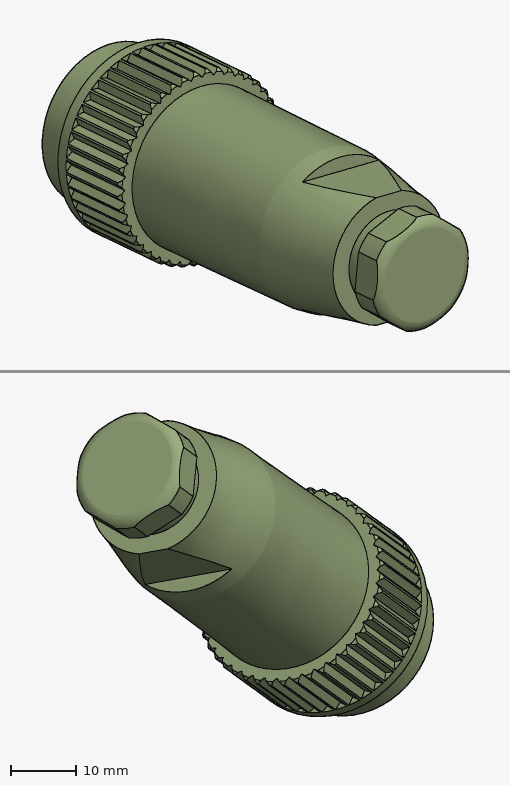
import cadquery as cq
import math

PLUG_START = 0.0
RING_START = 6.95
KNURL_START = 9.5
RING_END = 22.85
NOSE_START = 54.3
FLAT_START = 57.55
NOSE_END = 69.6
NUT_START = 72.9
OVERALL_LENGTH = 78.56

PLUG_RADIUS = 13.35
RING_RADIUS = 16.045
BODY_START_RADIUS = 13.6
BODY_END_RADIUS = 13.33
NOSE_END_RADIUS = 10.83
NECK_RADIUS = 7.75
NUT_RADIUS = 9.4

RING_FRONT_FILLET = 0.75
RING_REAR_CHAMFER = 0.5
GROOVE_COUNT = 44
GROOVE_DEPTH = 1.0
GROOVE_HALF_ANGLE = 45.0
GROOVE_PHASE = -0.12
GROOVE_OVERCUT = 0.5

NOSE_START_SLOPE = -0.10
NOSE_END_SLOPE = -0.10
FLAT_HALF_DISTANCE = 10.55

HEX_SIDES = 6
FLAT_HALF_ANGLE = 20.0
NUT_ROTATION = -6.0
NUT_DOME_LENGTH = 1.15
NUT_DOME_DROP = 2.4
NUT_DOME_BULGE = 0.3


def cylinder(start, end, radius):
    """Cylinder on the X axis between two stations."""
    return cq.Workplane("YZ").workplane(offset=start).circle(radius).extrude(end - start)


def groove_cutter():
    """V-groove prism lying along the top of the ring, apex towards the axis."""
    apex_z = RING_RADIUS - GROOVE_DEPTH
    height = GROOVE_DEPTH + GROOVE_OVERCUT
    half_width = height * math.tan(math.radians(GROOVE_HALF_ANGLE))
    return (
        cq.Workplane("YZ")
        .workplane(offset=KNURL_START)
        .moveTo(0, apex_z)
        .lineTo(half_width, apex_z + height)
        .lineTo(-half_width, apex_z + height)
        .close()
        .extrude(RING_END - KNURL_START)
    )


def coupling_ring():
    ring = cylinder(RING_START, RING_END, RING_RADIUS)
    ring = ring.faces("<X").edges().fillet(RING_FRONT_FILLET)
    ring = ring.faces(">X").edges().chamfer(RING_REAR_CHAMFER)
    cutter = groove_cutter().val()
    pitch = 360.0 / GROOVE_COUNT
    axis_start = cq.Vector(0, 0, 0)
    axis_end = cq.Vector(1, 0, 0)
    grooves = []
    for i in range(GROOVE_COUNT):
        grooves.append(cutter.rotate(axis_start, axis_end, GROOVE_PHASE + i * pitch))
    return ring.cut(cq.Workplane(obj=cq.Compound.makeCompound(grooves)))


def shell():
    """Tapered body and nose, with a wrench flat on the top and bottom of the nose."""
    turned = (
        cq.Workplane("XY")
        .moveTo(RING_END, 0)
        .lineTo(RING_END, BODY_START_RADIUS)
        .lineTo(NOSE_START, BODY_END_RADIUS)
        .spline(
            [(NOSE_END, NOSE_END_RADIUS)],
            tangents=[(1, NOSE_START_SLOPE), (1, NOSE_END_SLOPE)],
            includeCurrent=True,
        )
        .lineTo(NOSE_END, 0)
        .close()
        .revolve(360, (0, 0, 0), (1, 0, 0))
    )
    flat_length = NOSE_END - FLAT_START
    cut_height = BODY_END_RADIUS - FLAT_HALF_DISTANCE
    for side in (1, -1):
        cutter = cq.Workplane("XY").box(flat_length, 2 * BODY_END_RADIUS, cut_height)
        middle_x = (FLAT_START + NOSE_END) / 2
        middle_z = side * (FLAT_HALF_DISTANCE + cut_height / 2)
        turned = turned.cut(cutter.translate((middle_x, 0, middle_z)))
    return turned


def gland_nut():
    """Turned blank with a domed end, milled to a hexagon with rounded corners."""
    dome_start = OVERALL_LENGTH - NUT_DOME_LENGTH
    end_radius = NUT_RADIUS - NUT_DOME_DROP
    dome_middle = (
        dome_start + NUT_DOME_LENGTH / 2 + NUT_DOME_BULGE,
        NUT_RADIUS - NUT_DOME_DROP / 2 + NUT_DOME_BULGE,
    )
    blank = (
        cq.Workplane("XY")
        .moveTo(NUT_START, 0)
        .lineTo(NUT_START, NUT_RADIUS)
        .lineTo(dome_start, NUT_RADIUS)
        .threePointArc(dome_middle, (OVERALL_LENGTH, end_radius))
        .lineTo(OVERALL_LENGTH, 0)
        .close()
        .revolve(360, (0, 0, 0), (1, 0, 0))
    )
    flat_distance = NUT_RADIUS * math.cos(math.radians(FLAT_HALF_ANGLE))
    corner_diameter = 2 * flat_distance / math.cos(math.pi / HEX_SIDES)
    hexagon = (
        cq.Workplane("YZ")
        .workplane(offset=NUT_START)
        .transformed(rotate=(0, 0, NUT_ROTATION + 180.0 / HEX_SIDES))
        .polygon(HEX_SIDES, corner_diameter)
        .extrude(OVERALL_LENGTH - NUT_START)
    )
    return blank.intersect(hexagon)


plug = cylinder(PLUG_START, RING_START, PLUG_RADIUS)
neck = cylinder(NOSE_END, NUT_START, NECK_RADIUS)

result = plug.union(coupling_ring()).union(shell()).union(neck).union(gland_nut())